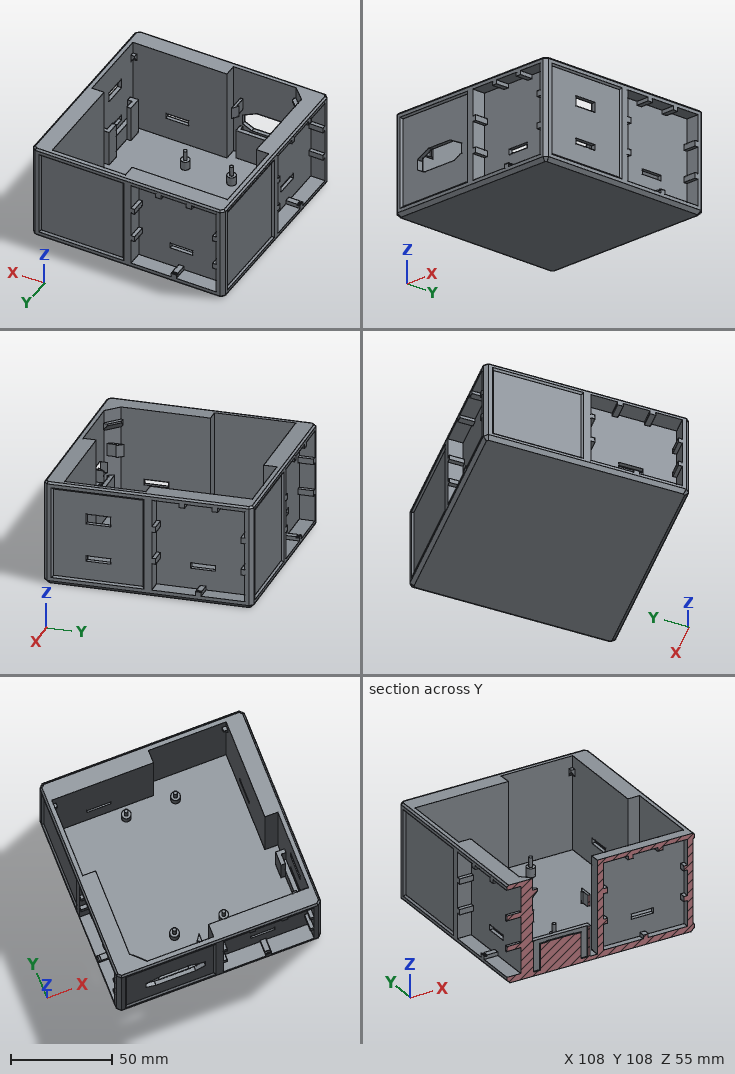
import cadquery as cq

SIDE = 108.0
HEIGHT = 55.0
HALF = SIDE / 2
BOTTOM_CHAMFER = 1.9
CORNER_CHAMFER = 1.9
TOP_CHAMFER = 1.0

FLOOR = 2.5
THIN_WALL = 3.2
THICK_WALL = 10.0
WALL_STEP = 2.0
REAR_WALL_STEP = 2.9
CAVITY_CORNER_CUT = 6.7

PANEL_WIDTH = 48.0
PANEL_HEIGHT = 48.4
PANEL_OFFSET = 25.9
PANEL_Z = 28.0
RECESS_DEPTH = 1.0
POCKET_DEPTH = 8.0

RIB_WIDTH = 3.0
RIB_HEIGHT = 2.0
GROOVE_START = 0.8
GROOVE_WIDTH = 1.0
GROOVE_DEPTH = 0.6
RIB_SPREAD = 8.5
SLOT_WIDTH = 12.7
SLOT_HEIGHT = 2.9
SLOT_Z = 16.0

POST_DIAMETER = 4.8
POST_HEIGHT = 5.0
PIN_DIAMETER = 1.9
PIN_HEIGHT = 5.4
POST_X = (-13.7, 12.3)
POST_Y = (-27.5, 38.2)

SUPPORT_SIZE = 2.2
SUPPORT_TOP = 48.4
SUPPORT_TIP = 1.0
SUPPORT_ROOT = 4.1
SUPPORT_OVERHANG = 1.0

WINDOW_X = -22.9
WINDOW_Z = 23.9
WINDOW_WIDTH = 31.3
WINDOW_HEIGHT = 13.1
WINDOW_FLAT = 15.3
WINDOW_UPRIGHT = 5.4
SILL_Z = 18.7
HOLDER_WIDTH = 34.1
HOLDER_TOP = 19.5
HOLDER_DEPTH = 4.5
LEDGE_WIDTH = 23.8
LEDGE_TOP = 17.2
LEDGE_DEPTH = 2.2
LEDGE_PAD_WIDTH = 15.8
LEDGE_PAD_TOP = 17.5
BOARD_WIDTH = 30.9
BOARD_THICKNESS = 1.5
HOOK_THICKNESS = 1.4
HOOK_HEIGHT = 6.5
HOOK_BARB = 1.1
HOOK_NOSE = 3.5

CLIP_WIDTH = 30.1
CLIP_INNER_WIDTH = 25.3
CLIP_GAP = 2.4
CLIP_DEPTH = 4.6
CLIP_OPENING = 14.8
CLIP_SHIFT = 0.3
CLIP_BASE_TOP = 11.9
CLIP_TOP = 22.7
UPPER_OPENING_HEIGHT = 5.3
UPPER_OPENING_Z = 37.3

INNER_THIN = HALF - THIN_WALL
INNER_THICK = HALF - THICK_WALL


def box(x0, x1, y0, y1, z0, z1):
    """Box between two corners."""
    return cq.Workplane("XY").box(x1 - x0, y1 - y0, z1 - z0, centered=False).translate((x0, y0, z0))


def outer_box():
    body = cq.Workplane("XY").box(SIDE, SIDE, HEIGHT, centered=(True, True, False))
    body = body.edges("|Z").chamfer(CORNER_CHAMFER)
    return body.faces("<Z").chamfer(BOTTOM_CHAMFER).faces(">Z").chamfer(TOP_CHAMFER)


def cavity():
    """Inside space: its outline steps between the thin and thick part of every wall."""
    outline = [
        (-INNER_THICK + CAVITY_CORNER_CUT, -INNER_THIN),
        (-WALL_STEP, -INNER_THIN),
        (-WALL_STEP, -INNER_THICK),
        (INNER_THIN, -INNER_THICK),
        (INNER_THIN, -WALL_STEP),
        (INNER_THICK, -WALL_STEP),
        (INNER_THICK, INNER_THIN),
        (REAR_WALL_STEP, INNER_THIN),
        (REAR_WALL_STEP, INNER_THICK),
        (-INNER_THIN, INNER_THICK),
        (-INNER_THIN, WALL_STEP),
        (-INNER_THICK, WALL_STEP),
        (-INNER_THICK, -INNER_THIN + CAVITY_CORNER_CUT),
    ]
    return cq.Workplane("XY").workplane(offset=FLOOR).polyline(outline).close().extrude(HEIGHT)


def front_plane(depth):
    """Sketch plane parallel to the front wall, at a depth behind it; extrusion runs inward."""
    return cq.Workplane(cq.Plane((0, depth - HALF, 0), (-1, 0, 0), (0, 1, 0)))


def shallow_recess():
    return (
        front_plane(0)
        .center(PANEL_OFFSET, PANEL_Z)
        .rect(PANEL_WIDTH, PANEL_HEIGHT)
        .extrude(RECESS_DEPTH, taper=45)
    )


def deep_pocket():
    """Square pocket that keeps two ribs on the top, left and right and a grooved one below."""
    half_width = PANEL_WIDTH / 2
    half_height = PANEL_HEIGHT / 2
    base = front_plane(0).center(-PANEL_OFFSET, PANEL_Z)
    pocket = base.rect(PANEL_WIDTH, PANEL_HEIGHT).extrude(POCKET_DEPTH)
    side_places = [(x, z) for x in (-half_width, half_width) for z in (-RIB_SPREAD, RIB_SPREAD)]
    end_places = [(-RIB_SPREAD, half_height), (RIB_SPREAD, half_height), (0, -half_height)]
    side_ribs = base.pushPoints(side_places).rect(2 * RIB_HEIGHT, RIB_WIDTH).extrude(POCKET_DEPTH)
    end_ribs = base.pushPoints(end_places).rect(RIB_WIDTH, 2 * RIB_HEIGHT).extrude(POCKET_DEPTH)
    groove = (
        front_plane(GROOVE_START)
        .center(-PANEL_OFFSET, PANEL_Z - half_height + RIB_HEIGHT)
        .rect(RIB_WIDTH, 2 * GROOVE_DEPTH)
        .extrude(GROOVE_WIDTH)
    )
    return pocket.cut(side_ribs).cut(end_ribs).union(groove)


def slot(x):
    """Slot through the front wall, centred at x."""
    return front_plane(0).center(-x, SLOT_Z).rect(SLOT_WIDTH, SLOT_HEIGHT).extrude(THICK_WALL)


def posts():
    places = [(x, y) for x in POST_X for y in POST_Y]
    floor = cq.Workplane("XY").workplane(offset=FLOOR).pushPoints(places)
    bosses = floor.circle(POST_DIAMETER / 2).extrude(POST_HEIGHT)
    return bosses.union(floor.circle(PIN_DIAMETER / 2).extrude(POST_HEIGHT + PIN_HEIGHT))


def support_bracket(length):
    """Bracket along X on a wall at y = 0, with a flat top and an underside sloping down to the wall."""
    profile = [
        (0, SUPPORT_TOP),
        (SUPPORT_SIZE, SUPPORT_TOP),
        (SUPPORT_SIZE, SUPPORT_TOP - SUPPORT_TIP),
        (0, SUPPORT_TOP - SUPPORT_ROOT),
    ]
    return cq.Workplane("YZ").polyline(profile).close().extrude(length)


def corner_support(x, y, angle):
    """Support in a square cavity corner; at angle 0 the walls lie towards -X and -Y."""
    along_x = support_bracket(SUPPORT_SIZE)
    along_y = along_x.mirror("XZ").rotate((0, 0, 0), (0, 0, 1), 90)
    return along_x.union(along_y).rotate((0, 0, 0), (0, 0, 1), angle).translate((x, y, 0))


def cut_corner_support():
    """Support along the cut-off cavity corner, its ends square to the two walls."""
    span = 2 * CAVITY_CORNER_CUT
    bracket = support_bracket(2 * span).translate((-span, 0, 0)).rotate((0, 0, 0), (0, 0, 1), -45)
    middle = CAVITY_CORNER_CUT / 2
    bracket = bracket.translate((-INNER_THICK + middle, -INNER_THIN + middle, 0))
    reach = CAVITY_CORNER_CUT + SUPPORT_OVERHANG
    limits = box(
        -INNER_THICK, -INNER_THICK + reach, -INNER_THIN, -INNER_THIN + reach, FLOOR, HEIGHT
    )
    return bracket.intersect(limits)


def window():
    """Flattened octagon through the wall and cut-off cavity corner, ending in a level sill."""
    half_width = WINDOW_WIDTH / 2
    half_height = WINDOW_HEIGHT / 2
    half_flat = WINDOW_FLAT / 2
    half_upright = WINDOW_UPRIGHT / 2
    points = [
        (half_width, half_upright),
        (half_flat, half_height),
        (-half_flat, half_height),
        (-half_width, half_upright),
        (-half_width, -half_upright),
        (-half_flat, -half_height),
        (half_flat, -half_height),
        (half_width, -half_upright),
    ]
    outline = front_plane(0).center(-WINDOW_X, WINDOW_Z).polyline(points).close()
    opening = outline.extrude(THIN_WALL + LEDGE_DEPTH)
    return opening.intersect(box(-HALF, HALF, -HALF, HALF, SILL_Z, HEIGHT))


def holder_block(width, start, end, top):
    """Block from the floor up, centred on the window, between two distances from the thin wall."""
    half = width / 2
    return box(WINDOW_X - half, WINDOW_X + half, start - INNER_THIN, end - INNER_THIN, FLOOR, top)


def hook(side):
    """Snap hook above the window for one edge of the upright board; side is -1 or 1."""
    inner = BOARD_WIDTH / 2
    outer = inner + HOOK_THICKNESS
    catch = HOLDER_DEPTH + BOARD_THICKNESS
    profile = [
        (inner, 0),
        (inner, catch),
        (inner - HOOK_BARB, catch),
        (outer, catch + HOOK_NOSE),
        (outer, 0),
    ]
    window_top = cq.Workplane("XY").workplane(offset=WINDOW_Z + WINDOW_HEIGHT / 2)
    outline = [(WINDOW_X + side * x, y - INNER_THIN) for x, y in profile]
    return window_top.polyline(outline).close().extrude(HOOK_HEIGHT)


def board_holder():
    """U-shaped rest that backs the board, a lower ledge with a raised pad inside it, and two hooks."""
    rest = holder_block(HOLDER_WIDTH, 0, HOLDER_DEPTH, HOLDER_TOP)
    rest = rest.cut(holder_block(BOARD_WIDTH, 0, LEDGE_DEPTH, HOLDER_TOP))
    ledge = holder_block(LEDGE_WIDTH, 0, LEDGE_DEPTH, LEDGE_TOP)
    pad = holder_block(LEDGE_PAD_WIDTH, 0, LEDGE_DEPTH, LEDGE_PAD_TOP)
    return rest.union(ledge).union(pad).union(hook(-1)).union(hook(1))


def clip_frame():
    """Upright guide on the right wall: a slot for a board on a low base, open at the top and middle."""
    middle = -PANEL_OFFSET
    front = INNER_THIN - CLIP_DEPTH
    back = INNER_THIN - CLIP_GAP
    outer_low = middle - CLIP_SHIFT - CLIP_WIDTH / 2
    outer_high = outer_low + CLIP_WIDTH
    half_inner = CLIP_INNER_WIDTH / 2
    half_opening = CLIP_OPENING / 2
    frame = box(front, INNER_THIN, outer_low, outer_high, FLOOR, CLIP_TOP)
    gap = box(back, INNER_THIN, middle - half_inner, middle + half_inner, CLIP_BASE_TOP, CLIP_TOP)
    opening = box(front, back, middle - half_opening, middle + half_opening, FLOOR, CLIP_TOP)
    return frame.cut(gap).cut(opening)


def right_openings():
    """A cable slot and a larger opening above it through the thin right wall."""
    upper = (
        front_plane(0)
        .center(PANEL_OFFSET, UPPER_OPENING_Z)
        .rect(SLOT_WIDTH, UPPER_OPENING_HEIGHT)
        .extrude(THIN_WALL)
    )
    return upper.union(slot(-PANEL_OFFSET)).rotate((0, 0, 0), (0, 0, 1), 90)


result = outer_box().cut(cavity())
for cutter in (shallow_recess(), deep_pocket(), slot(PANEL_OFFSET)):
    for quarter in range(4):
        result = result.cut(cutter.rotate((0, 0, 0), (0, 0, 1), 90 * quarter))
result = result.cut(window()).cut(right_openings())
result = result.union(posts()).union(board_holder()).union(clip_frame())
result = result.union(corner_support(INNER_THIN, -INNER_THICK, 90))
result = result.union(corner_support(INNER_THICK, INNER_THIN, 180))
result = result.union(corner_support(-INNER_THIN, INNER_THICK, 270))
result = result.union(cut_corner_support())